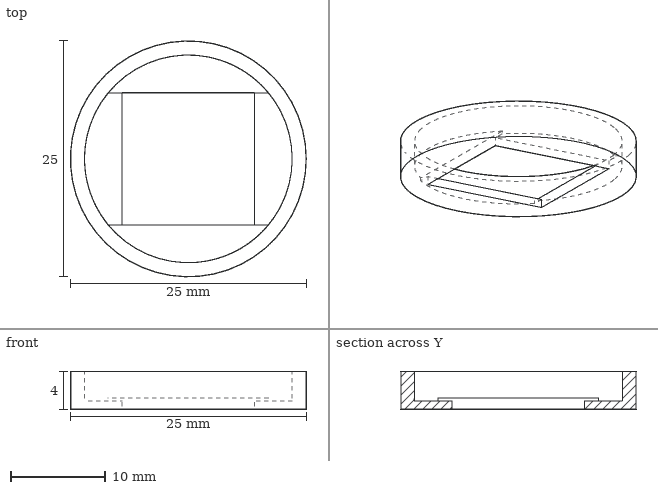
import cadquery as cq

outer_diameter = 25.0
inner_diameter = 22.0
ring_height = 4.0

window_side = 14.0
floor_thickness = 1.2
strip_step = 0.3
strip_thickness = floor_thickness - strip_step


def make_cup():
    """Round cup: the ring wall closed by a floor at its lower end."""
    cup = cq.Workplane("XY").circle(outer_diameter / 2).extrude(ring_height)
    recess = (
        cq.Workplane("XY", origin=(0, 0, floor_thickness))
        .circle(inner_diameter / 2)
        .extrude(ring_height - floor_thickness)
    )
    return cup.cut(recess)


def make_strip_channel():
    """Shallow channel along X, as wide as the window and ending at the ring wall."""
    bore = (
        cq.Workplane("XY", origin=(0, 0, strip_thickness))
        .circle(inner_diameter / 2)
        .extrude(strip_step)
    )
    band = (
        cq.Workplane("XY", origin=(0, 0, strip_thickness))
        .rect(inner_diameter, window_side)
        .extrude(strip_step)
    )
    return bore.intersect(band)


def make_window():
    """Square opening through the floor."""
    return cq.Workplane("XY").rect(window_side, window_side).extrude(floor_thickness)


result = make_cup().cut(make_strip_channel()).cut(make_window())